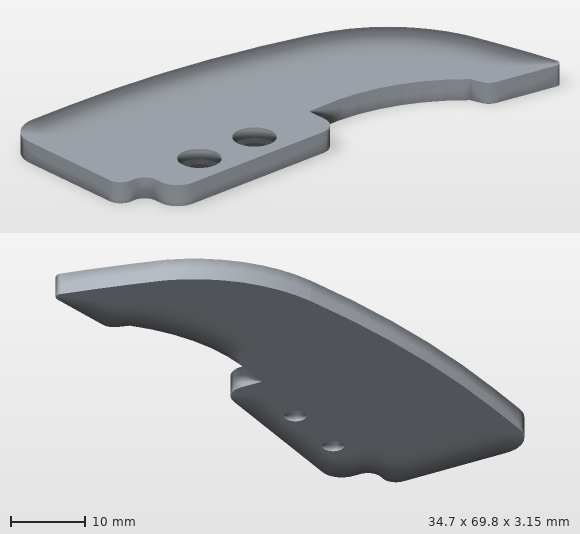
import cadquery as cq

thickness = 3.15
body_width = 23.0

tab_edge = 29.1
tab_bottom = 4.75
tab_top = 34.35
tab_radius = 3.0

heel_radius = 5.0
step_radius = 1.95
tip_radius = 1.0
beak_radius = 2.0

outer_start = (0, 11.65)
outer_middle = (1.6, 32.8)
bend_start = (5.5, 50.9)
bend_middle = (10.9, 60.4)
bend_end = (19.4, 66.0)
crown_middle = (23.95, 67.35)
tip = (34.9, 70.1)

beak = (32.9, 58.1)
inner_start = (30.1, 57.2)
inner_middle = (25.4, 50.2)
inner_end = (body_width, 36.65)

hole_x = 24.1
hole_y = 13.55
hole_pitch = 10.0
hole_diameter = 3.0
bore_diameter = 2 * hole_diameter
bore_depth = 1.55


def round_corner(plate, corner, radius):
    """Fillet the upright edge nearest to the given (x, y) corner."""
    nearest = cq.selectors.NearestToPointSelector((*corner, thickness / 2))
    return plate.edges("|Z").edges(nearest).fillet(radius)


plate = (
    cq.Workplane("XY")
    .moveTo(0, 0)
    .lineTo(*outer_start)
    .threePointArc(outer_middle, bend_start)
    .threePointArc(bend_middle, bend_end)
    .threePointArc(crown_middle, tip)
    .lineTo(*beak)
    .lineTo(*inner_start)
    .threePointArc(inner_middle, inner_end)
    .lineTo(body_width, tab_top)
    .lineTo(tab_edge, tab_top)
    .lineTo(tab_edge, tab_bottom)
    .lineTo(body_width, tab_bottom)
    .lineTo(body_width, 0)
    .close()
    .extrude(thickness)
)

rounded_corners = [
    ((0, 0), heel_radius),
    ((body_width, 0), step_radius),
    ((body_width, tab_bottom), step_radius),
    ((tab_edge, tab_bottom), tab_radius),
    ((tab_edge, tab_top), tab_radius),
    (beak, beak_radius),
    (tip, tip_radius),
]
for corner, radius in rounded_corners:
    plate = round_corner(plate, corner, radius)

hole_centers = [(hole_x, hole_y), (hole_x, hole_y + hole_pitch)]
result = (
    plate.faces(">Z")
    .workplane(origin=(0, 0, thickness))
    .pushPoints(hole_centers)
    .cboreHole(hole_diameter, bore_diameter, bore_depth)
)